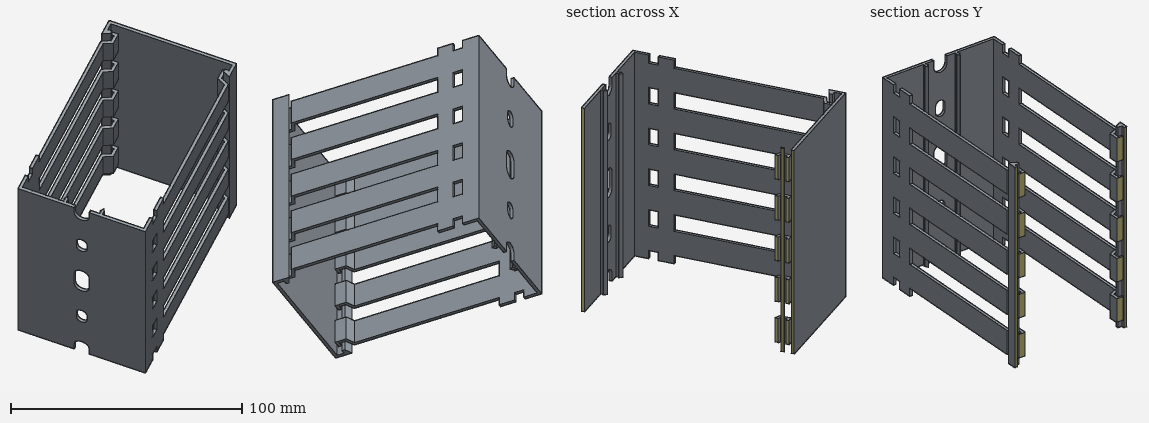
import cadquery as cq
import math

WIDTH = 60.0
DEPTH = 100.0
HEIGHT = 100.0
HALF_WIDTH = WIDTH / 2

WALL = 1.5

COVER_SKIRT = 8.0
JOINT_GAP = 1.0
JOINT_SLOPE = 0.5
HOOK_OUTSET = 5.5
HOOK_TOP_Y = 97.5
HOOK_TIP_INSET = 2.0
LIP_REACH = 3.5
LIP_TOP_Y = 95.2

FINGER_COUNT = 5
FINGER_PITCH = HEIGHT / FINGER_COUNT
GAP_HEIGHT = 8.0
FINGER_ROOT_Y = 20.0
WINDOW_Y = 8.0
WINDOW_WIDTH = 4.5

LARGE_SLOT_LENGTH = 14.0
LARGE_SLOT_WIDTH = 7.0
LARGE_SLOT_COUNT = 3
LARGE_SLOT_PITCH = HEIGHT / (LARGE_SLOT_COUNT - 1)
SMALL_SLOT_LENGTH = 8.0
SMALL_SLOT_WIDTH = 5.0
SMALL_SLOT_OFFSET = HEIGHT / 4

RIB_X = 8.5
RIB_STEM = 1.3
RIB_HEAD = 2.2
RIB_HEAD_Y = 2.8
RIB_TIP_Y = 4.5


def extrude_profile(points):
    """Closed XY outline extruded over the full height."""
    return cq.Workplane("XY").polyline(points).close().extrude(HEIGHT)


def mirrored_outline(half_points):
    """Full outline from its left half, listed from the centre line to the centre line."""
    right_half = [(-x, y) for x, y in reversed(half_points)]
    return half_points + right_half


def duct_shell():
    """Base, side walls and inward hooks as one constant profile."""
    outer = -HALF_WIDTH
    inner = outer + WALL
    hook_inner = outer + HOOK_OUTSET
    hook_outer = hook_inner - WALL
    hook_tip = outer + HOOK_TIP_INSET
    bend_y = DEPTH - COVER_SKIRT - JOINT_GAP
    slope_drop = WALL * math.hypot(1, JOINT_SLOPE)

    def outer_slope_y(x):
        return bend_y + (x - outer) * JOINT_SLOPE

    left_half = [
        (outer, 0),
        (outer, bend_y),
        (hook_outer, outer_slope_y(hook_outer)),
        (hook_outer, HOOK_TOP_Y - WALL),
        (hook_tip, HOOK_TOP_Y - WALL),
        (hook_tip, HOOK_TOP_Y),
        (hook_inner, HOOK_TOP_Y),
        (hook_inner, outer_slope_y(hook_inner) - slope_drop),
        (inner, outer_slope_y(inner) - slope_drop),
        (inner, WALL),
    ]
    return extrude_profile(mirrored_outline(left_half))


def base_rib(x):
    """Arrow-headed rib standing on the inside of the base."""
    half_stem = RIB_STEM / 2
    half_head = RIB_HEAD / 2
    return extrude_profile([
        (x - half_stem, 0),
        (x + half_stem, 0),
        (x + half_stem, RIB_HEAD_Y),
        (x + half_head, RIB_HEAD_Y),
        (x, RIB_TIP_Y),
        (x - half_head, RIB_HEAD_Y),
        (x - half_stem, RIB_HEAD_Y),
    ])


def side_opening(y_start, y_end, z_centre):
    """Cutter through both side walls, as tall as a finger gap."""
    return cq.Workplane("XY").box(WIDTH, y_end - y_start, GAP_HEIGHT).translate(
        (0, (y_start + y_end) / 2, z_centre)
    )


def base_slot(length, width, z_centre):
    """Upright round-ended cutter through the base."""
    return (
        cq.Workplane("XZ", origin=(0, 0, z_centre))
        .slot2D(length, width, 90)
        .extrude(-WALL)
    )


def make_duct():
    duct = duct_shell()
    for x in (-RIB_X, RIB_X):
        duct = duct.union(base_rib(x))
    for index in range(FINGER_COUNT + 1):
        z_centre = index * FINGER_PITCH
        duct = duct.cut(side_opening(FINGER_ROOT_Y, DEPTH, z_centre))
        duct = duct.cut(side_opening(WINDOW_Y, WINDOW_Y + WINDOW_WIDTH, z_centre))
    for index in range(LARGE_SLOT_COUNT):
        z_centre = index * LARGE_SLOT_PITCH
        duct = duct.cut(base_slot(LARGE_SLOT_LENGTH, LARGE_SLOT_WIDTH, z_centre))
    for z_centre in (SMALL_SLOT_OFFSET, HEIGHT - SMALL_SLOT_OFFSET):
        duct = duct.cut(base_slot(SMALL_SLOT_LENGTH, SMALL_SLOT_WIDTH, z_centre))
    return duct


def make_cover():
    """Flat cover with side skirts ending in inward lips."""
    outer = -HALF_WIDTH
    inner = outer + WALL
    lip_tip = outer + LIP_REACH
    edge_y = DEPTH - COVER_SKIRT
    left_half = [
        (outer, DEPTH),
        (outer, edge_y),
        (lip_tip, edge_y + LIP_REACH * JOINT_SLOPE),
        (lip_tip, LIP_TOP_Y),
        (inner, LIP_TOP_Y),
        (inner, DEPTH - WALL),
    ]
    return extrude_profile(mirrored_outline(left_half))


duct = make_duct()
cover = make_cover()

result = cq.Compound.makeCompound([duct.val(), cover.val()])